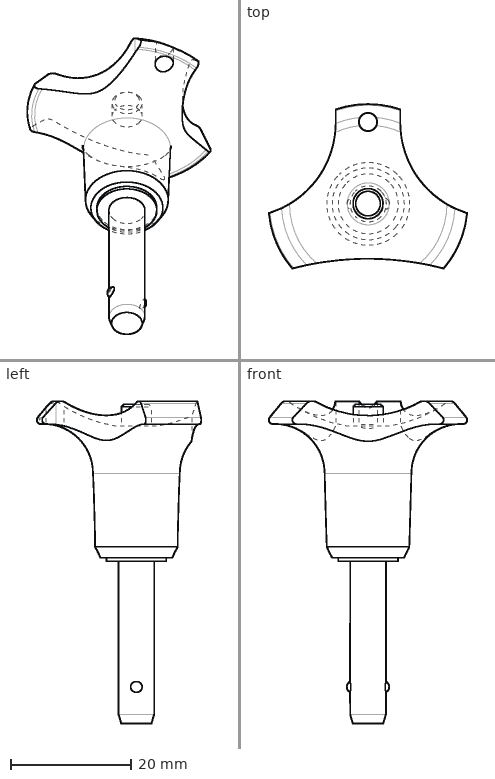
import cadquery as cq
import math

SHANK_RADIUS = 3.0
SHANK_LENGTH = 27.0
NOSE_LENGTH = 1.55
NOSE_RADIUS = 2.55

BALL_RADIUS = 1.0
BALL_SPAN = 7.1
BALL_DEPTH = 20.9

SHOULDER_RADIUS = 5.0
SHOULDER_HEIGHT = 0.6
BASE_RADIUS = 6.0
BASE_BEVEL_TOP = 2.4
BARREL_BOTTOM_RADIUS = 6.9
BARREL_TOP_RADIUS = 7.25
BARREL_TOP = 14.7
FLARE_RADIUS = 8.15

HANDLE_TOP = 26.7
RIM_RADIUS = 16.6
RIM_FILLET = 0.7
CREST_FILLET = 1.0
DISH_RADIUS = 22.5
DISH_BOTTOM = 22.3

WASHER_RADIUS = 3.5
BUTTON_RADIUS = 2.5
BUTTON_TOP = 26.2
BUTTON_CHAMFER = 0.45

ARM_HALF_WIDTH = 5.4
SCALLOP_RADIUS = 15.7
SCALLOP_CENTER_Y = 13.45
FRONT_CUT_OFFSET = 9.2
FRONT_CUT_RADIUS = 50.0

LANYARD_HOLE_RADIUS = 1.5
LANYARD_HOLE_Y = 13.6


def grip_blank():
    """Revolved grip: shoulder, barrel, flare, rim, crest and dished top."""
    flare_center_r = BARREL_TOP_RADIUS + FLARE_RADIUS
    flare_top = BARREL_TOP + FLARE_RADIUS
    flare_mid = FLARE_RADIUS * math.sqrt(0.5)

    rim_center_r = RIM_RADIUS - RIM_FILLET
    rim_center_z = flare_top + RIM_FILLET

    dish_center_z = DISH_BOTTOM + DISH_RADIUS
    crest_center_z = HANDLE_TOP - CREST_FILLET
    crest_center_distance = DISH_RADIUS + CREST_FILLET
    crest_center_r = math.sqrt(crest_center_distance**2 - (dish_center_z - crest_center_z) ** 2)

    run = rim_center_r - crest_center_r
    drop = crest_center_z - rim_center_z
    bevel_lean = math.asin((CREST_FILLET - RIM_FILLET) / math.hypot(run, drop))
    bevel_normal = math.atan2(run, drop) - bevel_lean
    normal_r = math.cos(bevel_normal)
    normal_z = math.sin(bevel_normal)
    bevel_top = (crest_center_r + CREST_FILLET * normal_r, crest_center_z + CREST_FILLET * normal_z)
    bevel_bottom = (rim_center_r + RIM_FILLET * normal_r, rim_center_z + RIM_FILLET * normal_z)

    dish_edge_share = DISH_RADIUS / crest_center_distance
    dish_edge_r = crest_center_r * dish_edge_share
    dish_edge_z = dish_center_z - (dish_center_z - crest_center_z) * dish_edge_share

    washer_z = dish_center_z - math.sqrt(DISH_RADIUS**2 - WASHER_RADIUS**2)
    dish_mid_r = (dish_edge_r + WASHER_RADIUS) / 2
    dish_mid_z = dish_center_z - math.sqrt(DISH_RADIUS**2 - dish_mid_r**2)

    profile = (
        cq.Workplane("XZ")
        .moveTo(0, 0)
        .lineTo(SHOULDER_RADIUS, 0)
        .lineTo(SHOULDER_RADIUS, SHOULDER_HEIGHT)
        .lineTo(BASE_RADIUS, SHOULDER_HEIGHT)
        .lineTo(BARREL_BOTTOM_RADIUS, BASE_BEVEL_TOP)
        .lineTo(BARREL_TOP_RADIUS, BARREL_TOP)
        .threePointArc(
            (flare_center_r - flare_mid, BARREL_TOP + flare_mid),
            (flare_center_r, flare_top),
        )
        .lineTo(rim_center_r, flare_top)
        .threePointArc((RIM_RADIUS, rim_center_z), bevel_bottom)
        .lineTo(*bevel_top)
        .threePointArc((crest_center_r, HANDLE_TOP), (dish_edge_r, dish_edge_z))
        .threePointArc((dish_mid_r, dish_mid_z), (WASHER_RADIUS, washer_z))
        .lineTo(0, washer_z)
        .close()
    )
    return profile.revolve(360, (0, 0, 0), (0, 1, 0))


def side_scallop(side):
    """Round cutter that runs on as a straight flank along the +Y arm; side is +1 or -1 in X."""
    center_x = side * (ARM_HALF_WIDTH + SCALLOP_RADIUS)
    arc = cq.Workplane("XY").center(center_x, SCALLOP_CENTER_Y).circle(SCALLOP_RADIUS).extrude(HANDLE_TOP)
    flank = (
        cq.Workplane("XY")
        .center(center_x, SCALLOP_CENTER_Y + SCALLOP_RADIUS / 2)
        .rect(2 * SCALLOP_RADIUS, SCALLOP_RADIUS)
        .extrude(HANDLE_TOP)
    )
    return arc.union(flank)


def front_cut():
    """Cutter for the shallow arc between the two lower arms."""
    center_y = -FRONT_CUT_OFFSET - FRONT_CUT_RADIUS
    return cq.Workplane("XY").center(0, center_y).circle(FRONT_CUT_RADIUS).extrude(HANDLE_TOP)


def lanyard_hole():
    return cq.Workplane("XY").center(0, LANYARD_HOLE_Y).circle(LANYARD_HOLE_RADIUS).extrude(HANDLE_TOP)


def button():
    return (
        cq.Workplane("XY")
        .workplane(offset=BARREL_TOP)
        .circle(BUTTON_RADIUS)
        .extrude(BUTTON_TOP - BARREL_TOP)
        .faces(">Z")
        .chamfer(BUTTON_CHAMFER)
    )


def shank():
    """Shank with a tapered nose, running up into the grip."""
    return (
        cq.Workplane("XZ")
        .moveTo(0, -SHANK_LENGTH)
        .lineTo(NOSE_RADIUS, -SHANK_LENGTH)
        .lineTo(SHANK_RADIUS, NOSE_LENGTH - SHANK_LENGTH)
        .lineTo(SHANK_RADIUS, SHOULDER_HEIGHT)
        .lineTo(0, SHOULDER_HEIGHT)
        .close()
        .revolve(360, (0, 0, 0), (0, 1, 0))
    )


def locking_ball(side):
    center_x = side * (BALL_SPAN / 2 - BALL_RADIUS)
    return cq.Workplane("XY").sphere(BALL_RADIUS).translate((center_x, 0, -BALL_DEPTH))


result = grip_blank().cut(front_cut()).cut(lanyard_hole())
for side in (1, -1):
    result = result.cut(side_scallop(side))

result = result.union(button()).union(shank())
for side in (1, -1):
    result = result.union(locking_ball(side))